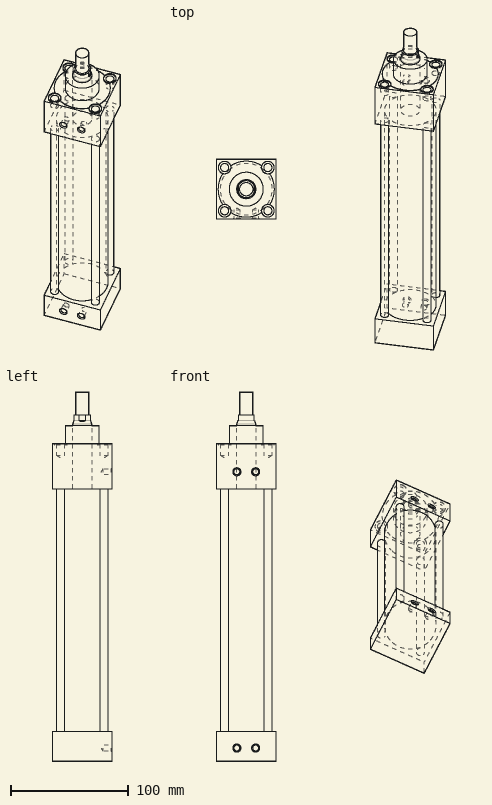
import cadquery as cq
import math

total_height = 314.3
cap_width = 51.0

rear_cap_top = 25.5
head_bottom = 231.5
head_top = 270.3
boss_top = 285.7

tube_radius = 22.0
tie_rod_radius = 3.5
tie_rod_spacing = 36.8
tie_rod_offset = tie_rod_spacing / 2

boss_radius = 14.5
face_recess_radius = 24.0
face_recess_depth = 0.3

rod_radius = 8.2
collar_height = 1.3
neck_radius = 7.2
cone_height = 3.0
neck_height = 4.7
flat_width = 13.2
stud_radius = 5.7

screw_bore_radius = 5.5
screw_bore_depth = 1.0
screw_radius = 3.5
screw_depth = 10.0

port_spacing = 16.0
port_radius = 3.5
port_root_radius = 2.5
port_chamfer = port_radius - port_root_radius
port_depth = 8.0
rear_port_level = 11.3
head_port_level = 246.5
drill_point_angle = 118.0


def blind_hole(mouth_radius, mouth_depth, radius, depth, flat_seat):
    """Cutter along -Z from the origin: wider mouth, straight bore and drill point."""
    point_length = radius / math.tan(math.radians(drill_point_angle / 2))
    outline = cq.Workplane("XZ").lineTo(mouth_radius, 0)
    if flat_seat:
        outline = outline.lineTo(mouth_radius, -mouth_depth)
    return (
        outline.lineTo(radius, -mouth_depth)
        .lineTo(radius, -depth)
        .lineTo(0, -depth - point_length)
        .close()
        .revolve(360, (0, 0, 0), (0, 1, 0))
    )


def cap_block(bottom, top, port_level):
    """Square end cap with two air ports in its -Y face."""
    block = (
        cq.Workplane("XY")
        .workplane(offset=bottom)
        .rect(cap_width, cap_width)
        .extrude(top - bottom)
    )
    port = blind_hole(port_radius, port_chamfer, port_root_radius, port_depth, flat_seat=False)
    port = port.rotate((0, 0, 0), (1, 0, 0), 90)
    for side in (-1, 1):
        block = block.cut(port.translate((side * port_spacing / 2, -cap_width / 2, port_level)))
    return block


def corner_points():
    return [(sx * tie_rod_offset, sy * tie_rod_offset) for sx in (-1, 1) for sy in (-1, 1)]


def make_rear_cap():
    """Rear cap carrying the four tie rods, which reach up to the head."""
    cap = cap_block(0, rear_cap_top, rear_port_level)
    tie_rods = (
        cq.Workplane("XY")
        .workplane(offset=rear_cap_top)
        .pushPoints(corner_points())
        .circle(tie_rod_radius)
        .extrude(head_bottom - rear_cap_top)
    )
    return cap.union(tie_rods)


def make_tube():
    """Barrel clamped between the two caps."""
    return (
        cq.Workplane("XY")
        .workplane(offset=rear_cap_top)
        .circle(tube_radius)
        .extrude(head_bottom - rear_cap_top)
    )


def make_head():
    """Front cap with its boss, corner screw holes and bore for the piston rod."""
    head = cap_block(head_bottom, head_top, head_port_level)
    recess_floor = head_top - face_recess_depth
    floor_plane = cq.Workplane("XY").workplane(offset=recess_floor)
    head = head.cut(floor_plane.circle(face_recess_radius).extrude(face_recess_depth))
    head = head.union(floor_plane.circle(boss_radius).extrude(boss_top - recess_floor))
    screw_hole = blind_hole(screw_bore_radius, screw_bore_depth, screw_radius, screw_depth, flat_seat=True)
    for x, y in corner_points():
        head = head.cut(screw_hole.translate((x, y, head_top)))
    bore = (
        cq.Workplane("XY")
        .workplane(offset=head_bottom)
        .circle(rod_radius)
        .extrude(boss_top - head_bottom)
    )
    return head.cut(bore)


def make_piston_rod():
    """Rod with a conical shoulder, a neck with two wrench flats, and a stud."""
    cone_bottom = boss_top + collar_height
    cone_top = cone_bottom + cone_height
    neck_top = cone_top + neck_height
    rod = (
        cq.Workplane("XZ")
        .moveTo(0, head_bottom)
        .lineTo(rod_radius, head_bottom)
        .lineTo(rod_radius, cone_bottom)
        .lineTo(neck_radius, cone_top)
        .lineTo(neck_radius, neck_top)
        .lineTo(stud_radius, neck_top)
        .lineTo(stud_radius, total_height)
        .lineTo(0, total_height)
        .close()
        .revolve(360, (0, 0, 0), (0, 1, 0))
    )
    half_flat = flat_width / 2
    flat_cutter = (
        cq.Workplane("XZ")
        .moveTo(half_flat, neck_top)
        .lineTo(half_flat, cone_top)
        .lineTo(half_flat + cone_height, cone_top - cone_height)
        .lineTo(half_flat + cone_height, neck_top)
        .close()
        .extrude(neck_radius, both=True)
    )
    return rod.cut(flat_cutter).cut(flat_cutter.mirror("YZ"))


rear_cap = make_rear_cap()
tube = make_tube()
head = make_head()
piston_rod = make_piston_rod()

result = cq.Compound.makeCompound(
    [rear_cap.val(), tube.val(), head.val(), piston_rod.val()]
)